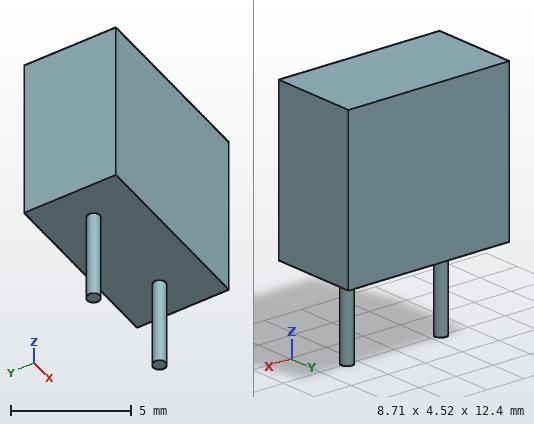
import cadquery as cq

body_length = 8.71
body_width = 4.52
overall_height = 12.42

lead_diameter = 0.61
lead_pitch = 5.08
lead_length = 4.37

body_height = overall_height - lead_length


def make_body():
    """Plain rectangular body resting on the plane Z = 0."""
    return cq.Workplane("XY").box(
        body_length, body_width, body_height, centered=(True, True, False)
    )


def make_lead(x):
    """Round lead hanging down from the underside of the body."""
    return cq.Workplane("XY").center(x, 0).circle(lead_diameter / 2).extrude(-lead_length)


body = make_body()
leads = [make_lead(side * lead_pitch / 2) for side in (-1, 1)]

result = cq.Compound.makeCompound([body.val(), *[lead.val() for lead in leads]])